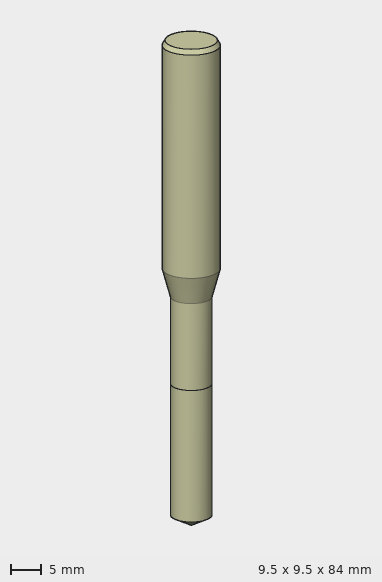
import cadquery as cq

total_length = 84.0
shank_radius = 4.75
neck_radius = 3.4

point_height = 1.85
joint_height = 24.6
neck_top = 39.65
taper_top = 44.5

chamfer_height = 0.8
chamfer_width = 0.5


def revolve_profile(points):
    """Revolve a closed (radius, height) outline about the Z axis."""
    axis_start = (0, 0, 0)
    axis_end = (0, 1, 0)
    return cq.Workplane("XZ").polyline(points).close().revolve(360, axis_start, axis_end)


def make_cutter():
    """Cylindrical cutting section with a conical point."""
    return revolve_profile(
        [
            (0, 0),
            (neck_radius, point_height),
            (neck_radius, joint_height),
            (0, joint_height),
        ]
    )


def make_holder():
    """Neck, conical transition and chamfered shank, seated on the cutter."""
    return revolve_profile(
        [
            (0, joint_height),
            (neck_radius, joint_height),
            (neck_radius, neck_top),
            (shank_radius, taper_top),
            (shank_radius, total_length - chamfer_height),
            (shank_radius - chamfer_width, total_length),
            (0, total_length),
        ]
    )


cutter = make_cutter()
holder = make_holder()

result = cq.Compound.makeCompound([cutter.val(), holder.val()])